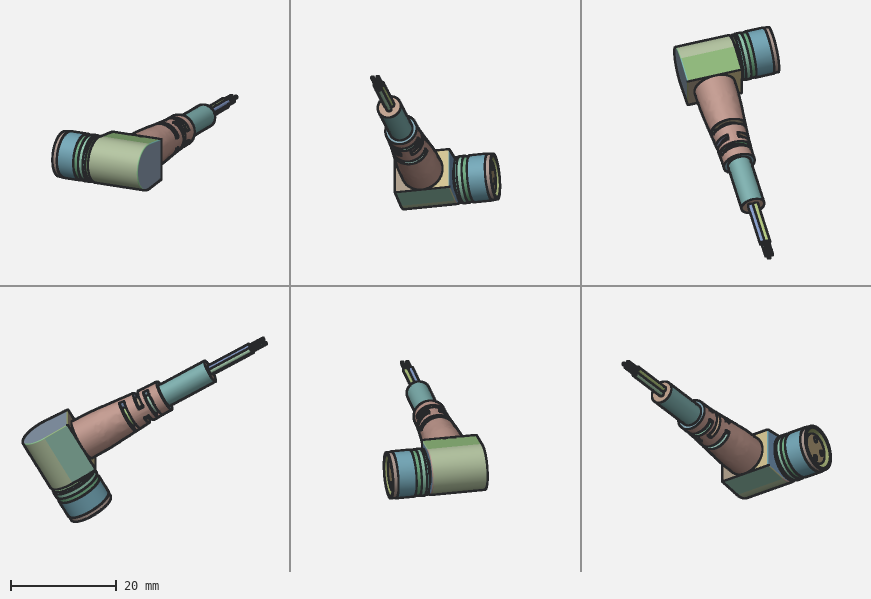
import cadquery as cq
import math


nut_diameter = 9.0
nut_step_diameter = 8.8
nut_length = 7.0
front_step_length = 1.0
groove_start = 4.5
groove_end = 5.5
rear_step_start = 6.5
socket_diameter = 8.0
socket_depth = 4.0

insert_diameter = 6.0
insert_recess = 0.5
contact_diameter = 1.0
contact_circle_radius = 2.0
contact_depth = 2.5
contact_angles = (90, 180, 270)
neck_diameter = 5.0

housing_start = 7.6
housing_end = 18.3
housing_radius = nut_diameter / 2
housing_back = 5.5
housing_back_half_height = 4.0
housing_edge_radius = 0.2

cable_x = (housing_start + housing_end) / 2
cable_diameter = 4.5
cable_end = 33.5
boot_end = 23.5
boot_neck = 20.5
boot_middle = 15.5
boot_base_radius = 4.0
boot_middle_radius = 3.45
boot_neck_radius = 3.1
boot_end_radius = 3.05
slot_width = 1.0
z_slot_starts = (15.5, 20.5)
x_slot_starts = (18.5,)
rib_width = 2.0

wire_diameter = 1.0
wire_gap = 0.01
wire_end = 42.5
conductor_diameter = 0.5
conductor_end = 45.5
wire_embed = 1.0


def x_cylinder(diameter, start, end):
    return cq.Workplane("YZ", origin=(start, 0, 0)).circle(diameter / 2).extrude(end - start)


def y_cylinder(diameter, start, end, x=cable_x, z=0.0):
    plane = cq.Workplane("XZ", origin=(x, start, z))
    return plane.circle(diameter / 2).extrude(start - end)


def make_nut():
    nut = x_cylinder(nut_step_diameter, 0, nut_length)
    nut = nut.union(x_cylinder(nut_diameter, front_step_length, groove_start))
    nut = nut.union(x_cylinder(nut_diameter, groove_end, rear_step_start))
    nut = nut.cut(x_cylinder(socket_diameter, 0, socket_depth))
    return nut.union(x_cylinder(neck_diameter, socket_depth, housing_start + housing_edge_radius))


def make_insert():
    insert = x_cylinder(insert_diameter, insert_recess, nut_length)
    for angle in contact_angles:
        y = contact_circle_radius * math.cos(math.radians(angle))
        z = contact_circle_radius * math.sin(math.radians(angle))
        hole = x_cylinder(contact_diameter, insert_recess, insert_recess + contact_depth)
        insert = insert.cut(hole.translate((0, y, z)))
    return insert


def make_housing():
    corner_distance = math.hypot(housing_back, housing_back_half_height)
    corner_angle = math.atan2(housing_back_half_height, housing_back)
    tangent_angle = corner_angle + math.acos(housing_radius / corner_distance)
    tangent_y = housing_radius * math.cos(tangent_angle)
    tangent_z = housing_radius * math.sin(tangent_angle)
    return (
        cq.Workplane("YZ", origin=(housing_start, 0, 0))
        .moveTo(housing_back, -housing_back_half_height)
        .lineTo(housing_back, housing_back_half_height)
        .lineTo(tangent_y, tangent_z)
        .threePointArc((-housing_radius, 0), (tangent_y, -tangent_z))
        .close()
        .extrude(housing_end - housing_start)
        .faces("<X or >X")
        .edges()
        .fillet(housing_edge_radius)
    )


def slot_pair(start, turn):
    """Cut on both sides of the boot, leaving the cable and a central rib."""
    size = 4 * boot_base_radius
    block = cq.Workplane("XY").box(size, slot_width, size)
    block = block.cut(cq.Workplane("XY").box(size, slot_width, rib_width))
    block = block.rotate((0, 0, 0), (0, 1, 0), turn)
    block = block.translate((cable_x, start + slot_width / 2, 0))
    return block.cut(y_cylinder(cable_diameter, start, start + slot_width))


def make_boot():
    boot = (
        cq.Workplane("XY")
        .moveTo(0, housing_back)
        .lineTo(boot_base_radius, housing_back)
        .spline(
            [(boot_middle_radius, boot_middle), (boot_neck_radius, boot_neck), (boot_end_radius, boot_end)],
            includeCurrent=True,
        )
        .lineTo(0, boot_end)
        .close()
        .revolve(360, (0, 0, 0), (0, 1, 0))
        .translate((cable_x, 0, 0))
    )
    for start in z_slot_starts:
        boot = boot.cut(slot_pair(start, 0))
    for start in x_slot_starts:
        boot = boot.cut(slot_pair(start, 90))
    return boot


def make_cable():
    cable = y_cylinder(cable_diameter, housing_back, cable_end)
    pitch = wire_diameter + wire_gap
    half_rise = pitch * math.sqrt(3) / 4
    for x, z in ((-pitch / 2, half_rise), (pitch / 2, half_rise), (0, -half_rise)):
        wire = y_cylinder(wire_diameter, cable_end - wire_embed, wire_end, cable_x + x, z)
        tip = y_cylinder(conductor_diameter, wire_end - wire_embed, conductor_end, cable_x + x, z)
        cable = cable.union(wire.union(tip))
    return cable


result = make_housing().union(make_nut()).union(make_insert()).union(make_boot()).union(make_cable())